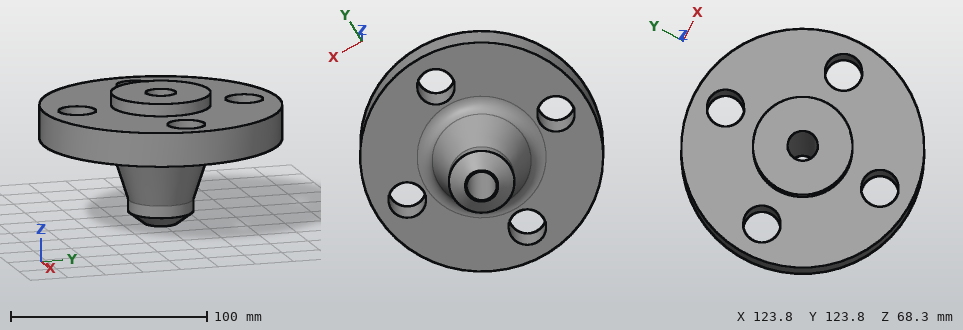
import cadquery as cq

flange_radius = 61.9
flange_thickness = 17.6
face_radius = 25.4
face_height = 6.5

hub_base_radius = 27.0
neck_radius = 16.7
tip_radius = 8.4
taper_height = 31.6
neck_height = 6.3
bevel_height = 6.3
hub_fillet_radius = 8.0
selection_margin = 0.1

bore_diameter = 15.4
bolt_hole_diameter = 19.1
bolt_circle_radius = 44.5
bolt_count = 4

neck_bottom = bevel_height
neck_top = neck_bottom + neck_height
flange_bottom = neck_top + taper_height
flange_top = flange_bottom + flange_thickness
total_height = flange_top + face_height


def revolved_body():
    """Solid of revolution about Z: hub, flange and raised face."""
    profile = [
        (0, 0),
        (tip_radius, 0),
        (neck_radius, neck_bottom),
        (neck_radius, neck_top),
        (hub_base_radius, flange_bottom),
        (flange_radius, flange_bottom),
        (flange_radius, flange_top),
        (face_radius, flange_top),
        (face_radius, total_height),
        (0, total_height),
    ]
    body = cq.Workplane("XZ").polyline(profile).close().revolve(360, (0, 0), (0, 1))
    root_edge = body.edges(
        cq.selectors.BoxSelector(
            (-flange_radius, -flange_radius, flange_bottom - selection_margin),
            (flange_radius, flange_radius, flange_bottom + selection_margin),
        )
    ).edges(cq.selectors.RadiusNthSelector(0))
    return root_edge.fillet(hub_fillet_radius)


def through_holes():
    """Central bore and the ring of bolt holes, one on each axis direction."""
    bore = cq.Workplane("XY").circle(bore_diameter / 2).extrude(total_height)
    bolt_holes = (
        cq.Workplane("XY")
        .polarArray(bolt_circle_radius, 0, 360, bolt_count)
        .circle(bolt_hole_diameter / 2)
        .extrude(total_height)
    )
    return bore.union(bolt_holes)


result = revolved_body().cut(through_holes())